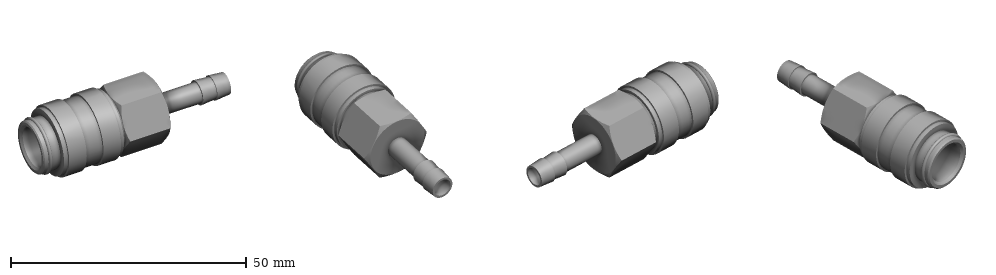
import cadquery as cq
import math

total_length = 47.0

nose_radius = 6.0
nose_chamfer = 0.3
bead_center = 1.6
bead_half_width = 0.4
bead_height = 0.4

sleeve_start = 4.0
sleeve_end = 18.45
sleeve_radius = 7.6
band_radius = 8.108
band_length = 4.25
band_inset = 1.0

neck_radius = 6.9
hex_start = 19.05
hex_end = 30.05
hex_across_flats = 14.0
hex_chamfer_angle = 30.0

tail_radius = 2.4
barb_count = 2
barb_length = 3.45
barb_tip_radius = 2.55
barb_radius = 2.8

mouth_radius = 5.05
mouth_depth = 0.5
socket_radius = 4.5
socket_depth = 18.8
seat_radius = 3.52
seat_depth = 27.25
through_radius = 2.0


def cylinder(radius, start, end):
    """Solid cylinder on the Y axis between two Y positions."""
    return cq.Workplane("XZ", origin=(0, start, 0)).circle(radius).extrude(start - end)


def revolve_profile(points):
    """Solid of revolution about Y from (radius, y) points."""
    return cq.Workplane("XY").polyline(points).close().revolve(360, (0, 0, 0), (0, 1, 0))


def make_nose():
    nose = cylinder(nose_radius, 0, sleeve_start).faces("<Y").chamfer(nose_chamfer)
    bead = (
        cq.Workplane("XY")
        .moveTo(0, bead_center - bead_half_width)
        .lineTo(nose_radius, bead_center - bead_half_width)
        .threePointArc(
            (nose_radius + bead_height, bead_center),
            (nose_radius, bead_center + bead_half_width),
        )
        .lineTo(0, bead_center + bead_half_width)
        .close()
        .revolve(360, (0, 0, 0), (0, 1, 0))
    )
    return nose.union(bead)


def make_sleeve():
    sleeve = cylinder(sleeve_radius, sleeve_start, sleeve_end)
    for band_start in (sleeve_start + band_inset, sleeve_end - band_inset - band_length):
        sleeve = sleeve.union(cylinder(band_radius, band_start, band_start + band_length))
    return sleeve


def make_hex():
    """Hexagon with corners on X, its ends trimmed by shallow cones."""
    corner_radius = hex_across_flats / math.sqrt(3)
    hexagon = (
        cq.Workplane("XZ", origin=(0, hex_start, 0))
        .polygon(6, 2 * corner_radius)
        .extrude(hex_start - hex_end)
    )
    cone_depth = (corner_radius - neck_radius) * math.tan(math.radians(hex_chamfer_angle))
    envelope = revolve_profile([
        (0, hex_start),
        (neck_radius, hex_start),
        (corner_radius, hex_start + cone_depth),
        (corner_radius, hex_end - cone_depth),
        (neck_radius, hex_end),
        (0, hex_end),
    ])
    return hexagon.intersect(envelope)


def make_tail():
    tail = cylinder(tail_radius, hex_end, total_length)
    for index in range(barb_count):
        tip = total_length - index * barb_length
        root = tip - barb_length
        barb = revolve_profile([(0, root), (barb_radius, root), (barb_tip_radius, tip), (0, tip)])
        tail = tail.union(barb)
    return tail


def make_bore():
    return revolve_profile([
        (0, 0),
        (mouth_radius, 0),
        (socket_radius, mouth_depth),
        (socket_radius, socket_depth),
        (seat_radius, socket_depth),
        (seat_radius, seat_depth),
        (through_radius, seat_depth),
        (through_radius, total_length),
        (0, total_length),
    ])


neck = cylinder(neck_radius, sleeve_end, hex_start)
body = make_nose().union(make_sleeve()).union(neck).union(make_hex()).union(make_tail())
result = body.cut(make_bore())